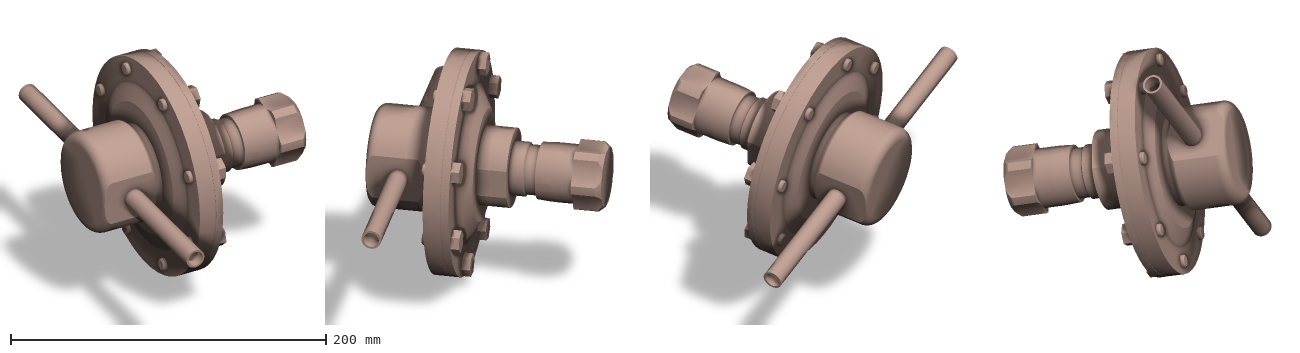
import cadquery as cq
import math

ORIGIN = (0, 0, 0)

cap_radius = 33.3
cap_front_fillet = 6.0
cap_flat_x = 29.7
cap_back_y = 33.5
neck_radius = 29.5
neck_front_y = 39.6
cap_slope_angle = math.radians(45)

hub_radius = 43.7
hub_front_y = 42.0
front_cone_radius = 55.2
flange_radius = 72.5
flange_front_y = 46.2
gasket_front_y = 57.3
gasket_back_y = 58.0
gasket_radius = 72.2
flange_back_y = 63.0
back_cone_large_radius = 51.6
back_cone_small_radius = 36.5
back_cone_y = 71.0

collar_radius = 25.5
collar_flat_x = 23.8
collar_back_y = 90.3

shoulder_radius = 17.5
shoulder_back_y = 99.4
waist_radius = 16.0
waist_front_y = 100.3
waist_back_y = 107.5
barrel_front_radius = 18.3
barrel_radius = 19.0
barrel_straight_y = 119.3

knob_front_y = 131.5
knob_back_y = 150.8
knob_radius = 22.5
knob_hollow_radius = 19.0
knob_end_radius = 19.5
knob_chamfer_length = 3.6
lobe_count = 6
lobe_half_angle = 7.5

bolt_count = 8
bolt_circle_radius = 64.3
bolt_first_angle = 22.5
bolt_tip_radius = 4.0
bolt_tip_y = 43.5
bolt_tip_chamfer = 0.7
bolt_head_corner_radius = 7.5
bolt_head_back_y = 68.4
bolt_head_turn = 7.5
bolt_head_sides = 6

pipe_length_overall = 226.5
pipe_radius = 6.3
pipe_bore_radius = 5.0
pipe_axis_y = 21.3
pipe_bore_end_x = 31.5


def revolve(profile):
    """Turn a closed profile of (radius, y) about the Y axis."""
    return profile.close().revolve(360, ORIGIN, (0, 1, 0))


def polar(radius, angle_degrees):
    angle = math.radians(angle_degrees)
    return (radius * math.cos(angle), radius * math.sin(angle))


def prism(outline, front_y, back_y):
    """Extrude a function-drawn X-Z outline between two Y positions."""
    plane = cq.Workplane("XZ", origin=(0, back_y, 0))
    return outline(plane).extrude(back_y - front_y)


def trim_side_flats(body, flat_x):
    """Cut a round body to a pair of flats at +X and -X."""
    box = body.val().BoundingBox()
    slab = cq.Workplane("XY").box(2 * flat_x, box.ylen, box.zlen).translate(box.center)
    return body.intersect(slab)


def make_cap():
    radial_drop = cap_radius - neck_radius
    axial_run = neck_front_y - cap_back_y
    blend_axial = axial_run - radial_drop
    blend_radius = blend_axial / 2 / math.tan(cap_slope_angle / 2)
    blend_y = blend_radius * math.sin(cap_slope_angle)
    blend_r = blend_radius * (1 - math.cos(cap_slope_angle))
    body = revolve(
        cq.Workplane("XY")
        .lineTo(cap_radius - cap_front_fillet, 0)
        .radiusArc((cap_radius, cap_front_fillet), -cap_front_fillet)
        .lineTo(cap_radius, cap_back_y)
        .radiusArc((cap_radius - blend_r, cap_back_y + blend_y), -blend_radius)
        .lineTo(neck_radius + blend_r, neck_front_y - blend_y)
        .radiusArc((neck_radius, neck_front_y), blend_radius)
        .lineTo(neck_radius, hub_front_y)
        .lineTo(0, hub_front_y)
    )
    return trim_side_flats(body, cap_flat_x)


def make_housing():
    return revolve(
        cq.Workplane("XY")
        .moveTo(0, hub_front_y)
        .lineTo(hub_radius, hub_front_y)
        .lineTo(front_cone_radius, flange_front_y)
        .lineTo(flange_radius, flange_front_y)
        .lineTo(flange_radius, gasket_front_y)
        .lineTo(gasket_radius, gasket_front_y)
        .lineTo(gasket_radius, gasket_back_y)
        .lineTo(flange_radius, gasket_back_y)
        .lineTo(flange_radius, flange_back_y)
        .lineTo(back_cone_large_radius, flange_back_y)
        .lineTo(back_cone_small_radius, back_cone_y)
        .lineTo(0, back_cone_y)
    )


def make_collar():
    body = prism(lambda plane: plane.circle(collar_radius), back_cone_y, collar_back_y)
    return trim_side_flats(body, collar_flat_x)


def make_stem():
    drop = barrel_radius - barrel_front_radius
    run = barrel_straight_y - waist_back_y
    barrel_arc_radius = (run**2 + drop**2) / (2 * drop)
    return revolve(
        cq.Workplane("XY")
        .moveTo(0, collar_back_y)
        .lineTo(shoulder_radius, collar_back_y)
        .lineTo(shoulder_radius, shoulder_back_y)
        .lineTo(waist_radius, waist_front_y)
        .lineTo(waist_radius, waist_back_y)
        .lineTo(barrel_front_radius, waist_back_y)
        .radiusArc((barrel_radius, barrel_straight_y), -barrel_arc_radius)
        .lineTo(barrel_radius, knob_front_y)
        .lineTo(0, knob_front_y)
    )


def knob_outline(plane):
    """Narrow round lobes joined by shallow hollows."""
    pitch = 360 / lobe_count
    outline = plane.moveTo(*polar(knob_radius, -lobe_half_angle))
    for i in range(lobe_count):
        lobe = i * pitch
        outline = outline.threePointArc(
            polar(knob_radius, lobe), polar(knob_radius, lobe + lobe_half_angle)
        ).threePointArc(
            polar(knob_hollow_radius, lobe + pitch / 2),
            polar(knob_radius, lobe + pitch - lobe_half_angle),
        )
    return outline.close()


def make_knob():
    chamfered_blank = revolve(
        cq.Workplane("XY")
        .moveTo(0, knob_front_y)
        .lineTo(knob_radius, knob_front_y)
        .lineTo(knob_radius, knob_back_y - knob_chamfer_length)
        .lineTo(knob_end_radius, knob_back_y)
        .lineTo(0, knob_back_y)
    )
    return prism(knob_outline, knob_front_y, knob_back_y).intersect(chamfered_blank)


def make_bolt(angle):
    """Bolt with its tip in front of the flange and its hexagon head behind it."""
    x, z = polar(bolt_circle_radius, angle)
    tip = prism(lambda plane: plane.circle(bolt_tip_radius), bolt_tip_y, flange_front_y)
    tip = tip.faces("<Y").chamfer(bolt_tip_chamfer)
    first_corner = angle + bolt_head_turn
    corners = [
        polar(bolt_head_corner_radius, first_corner + i * 360 / bolt_head_sides)
        for i in range(bolt_head_sides)
    ]
    head = prism(lambda plane: plane.polyline(corners).close(), flange_back_y, bolt_head_back_y)
    shank = prism(lambda plane: plane.circle(bolt_tip_radius), flange_front_y, flange_back_y)
    return tip.union(shank).union(head).translate((x, 0, z))


def make_pipe(side):
    """Pipe on the +X (side = 1) or -X (side = -1) flat, bored from its free end."""
    end_x = side * pipe_length_overall / 2
    plane = cq.Workplane("YZ", origin=(end_x, pipe_axis_y, 0))
    pipe = plane.circle(pipe_radius).extrude(-end_x)
    bore = plane.circle(pipe_bore_radius).extrude(side * pipe_bore_end_x - end_x)
    return pipe.cut(bore)


result = make_cap()
for piece in (make_housing(), make_collar(), make_stem(), make_knob()):
    result = result.union(piece)
for i in range(bolt_count):
    result = result.union(make_bolt(bolt_first_angle + i * 360 / bolt_count))
for side in (1, -1):
    result = result.union(make_pipe(side))